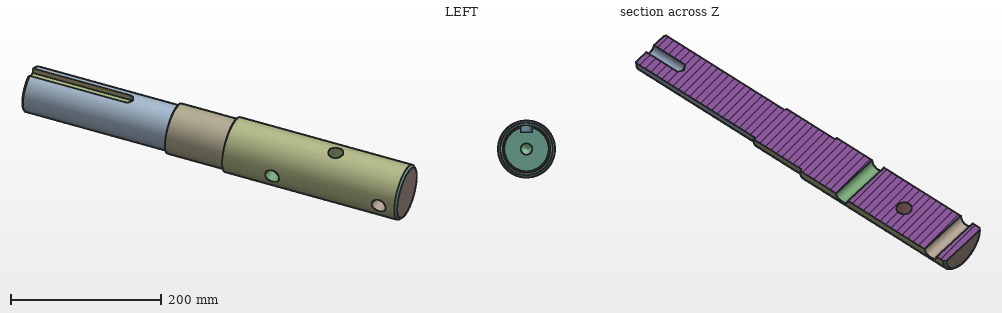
import cadquery as cq
import math

total_length = 540.0
key_seat_end = 207.0
collar_end = 290.0
key_seat_diameter = 63.0
collar_diameter = 69.5
body_diameter = 76.0

key_end_chamfer = 2.0
shoulder_root_radius = 1.5
body_end_chamfer = 3.0

keyway_width = 15.0
keyway_length = 147.0
keyway_floor_height = 22.0

pin_hole_diameter = 20.0
side_hole_positions = (362.0, 514.5)
vertical_hole_position = 438.0

bore_diameter = 15.0
bore_depth = 54.0
bore_tip_angle = 118.0


def shaft_section(start, end, diameter):
    return cq.Workplane("YZ", origin=(start, 0, 0)).circle(diameter / 2).extrude(end - start)


def make_shaft():
    key_seat = shaft_section(0, key_seat_end, key_seat_diameter).faces("<X").chamfer(key_end_chamfer)
    collar = shaft_section(key_seat_end, collar_end, collar_diameter)
    body = shaft_section(collar_end, total_length, body_diameter).faces(">X").chamfer(body_end_chamfer)
    shaft = key_seat.union(collar).union(body)
    for shoulder, diameter in ((key_seat_end, key_seat_diameter), (collar_end, collar_diameter)):
        root = cq.selectors.BoxSelector(
            (shoulder - shoulder_root_radius, -diameter, -diameter),
            (shoulder + shoulder_root_radius, diameter, diameter),
        )
        root_edge = shaft.edges("%CIRCLE").edges(root).edges(cq.selectors.RadiusNthSelector(0))
        shaft = root_edge.fillet(shoulder_root_radius)
    return shaft


def make_keyway():
    """Slot open at the keyed end, with a round inner end."""
    half_width = keyway_width / 2
    straight_length = keyway_length - half_width
    return (
        cq.Workplane("XY", origin=(0, 0, keyway_floor_height))
        .moveTo(0, -half_width)
        .lineTo(straight_length, -half_width)
        .threePointArc((keyway_length, 0), (straight_length, half_width))
        .lineTo(0, half_width)
        .close()
        .extrude(body_diameter / 2 - keyway_floor_height)
    )


def make_pin_hole(plane, position):
    """Cross hole through the full body, normal to the given plane."""
    return (
        cq.Workplane(plane, origin=(position, 0, 0))
        .circle(pin_hole_diameter / 2)
        .extrude(body_diameter, both=True)
    )


def make_center_bore():
    """Blind drilled hole in the keyed end, with a conical bottom."""
    radius = bore_diameter / 2
    tip_length = radius / math.tan(math.radians(bore_tip_angle / 2))
    return (
        cq.Workplane("XZ")
        .lineTo(0, radius)
        .lineTo(bore_depth, radius)
        .lineTo(bore_depth + tip_length, 0)
        .close()
        .revolve(360, (0, 0, 0), (1, 0, 0))
    )


result = make_shaft().cut(make_keyway())
result = result.cut(make_center_bore())
for side_hole_position in side_hole_positions:
    result = result.cut(make_pin_hole("XZ", side_hole_position))
result = result.cut(make_pin_hole("XY", vertical_hole_position))